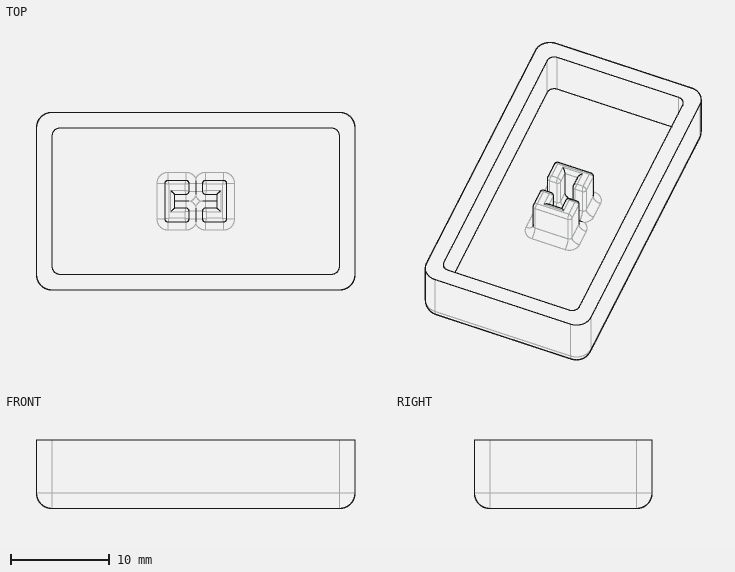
import cadquery as cq

LENGTH = 32.35
WIDTH = 18.05
HEIGHT = 7.0
POCKET_WIDTH = 14.85
WALL = (WIDTH - POCKET_WIDTH) / 2
OUTER_RADIUS = 1.6
POCKET_CORNER_RADIUS = 0.78
FLOOR_THICKNESS = WALL

STEM_LENGTH = 6.25
STEM_WIDTH = 4.25
STEM_HEIGHT = 4.5
GAP = 1.4
END_WALL = 0.97
STEM_CORNER_RADIUS = 0.3
STEM_TOP_RADIUS = 0.4
STEM_BASE_RADIUS = 0.8

SELECT_MARGIN = 0.03


def make_tray():
    """Block rounded on its upright and bottom edges, hollowed from the top."""
    body = cq.Workplane("XY").box(LENGTH, WIDTH, HEIGHT, centered=(True, True, False))
    body = body.edges("|Z or <Z").fillet(OUTER_RADIUS)
    pocket = (
        cq.Workplane("XY", origin=(0, 0, FLOOR_THICKNESS))
        .rect(LENGTH - 2 * WALL, POCKET_WIDTH)
        .extrude(HEIGHT - FLOOR_THICKNESS)
        .edges("|Z")
        .fillet(POCKET_CORNER_RADIUS)
    )
    return body.cut(pocket)


def make_stem_quarter():
    """Quarter of the stem at +X +Y: an arm and half of the end wall, flared into the floor."""
    inner_end = STEM_LENGTH / 2 - END_WALL
    reach = STEM_LENGTH
    slab_thickness = FLOOR_THICKNESS / 2

    wall_with_arm = (
        cq.Workplane("XY")
        .moveTo(GAP / 2, GAP / 2)
        .lineTo(GAP / 2, STEM_WIDTH / 2)
        .lineTo(STEM_LENGTH / 2, STEM_WIDTH / 2)
        .lineTo(STEM_LENGTH / 2, -reach)
        .lineTo(inner_end, -reach)
        .lineTo(inner_end, GAP / 2)
        .close()
        .extrude(STEM_HEIGHT)
        .edges("(|Z and >Y) or (|Z and <X)")
        .fillet(STEM_CORNER_RADIUS)
        .faces(">Z")
        .edges("not <Y")
        .fillet(STEM_TOP_RADIUS)
    )
    slab = (
        cq.Workplane("XY", origin=(0, 0, -slab_thickness))
        .rect(4 * reach, 2 * reach)
        .extrude(slab_thickness)
    )

    foot_edges = cq.selectors.BoxSelector(
        (0, -reach + SELECT_MARGIN, -SELECT_MARGIN), (reach, reach - SELECT_MARGIN, SELECT_MARGIN)
    )
    inner_end_edge = cq.selectors.BoxSelector(
        (inner_end - SELECT_MARGIN, -reach, -SELECT_MARGIN), (inner_end + SELECT_MARGIN, 0, SELECT_MARGIN)
    )
    flared = slab.union(wall_with_arm).edges(foot_edges - inner_end_edge).fillet(STEM_BASE_RADIUS)

    quadrant = cq.Workplane("XY").box(reach, reach, 2 * HEIGHT, centered=(False, False, True))
    return flared.intersect(quadrant).translate((0, 0, FLOOR_THICKNESS))


def make_stem():
    """Whole stem, mirrored from one quarter."""
    quarter = make_stem_quarter()
    half = quarter.union(quarter.mirror("XZ"))
    return half.union(half.mirror("YZ"))


result = make_tray().union(make_stem())